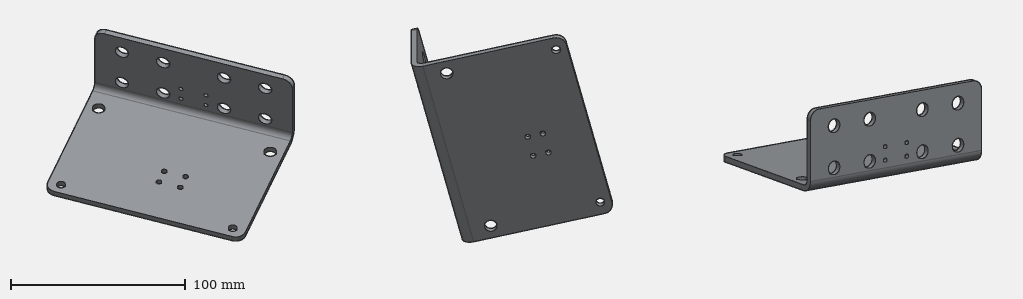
import cadquery as cq

width = 120.0
depth = 90.0
height = 49.0
thickness = 3.5
inner_bend_radius = 3.5
outer_bend_radius = inner_bend_radius + thickness
corner_radius = 6.0

wall_hole_diameter = 8.0
wall_hole_pitch = 25.0
wall_hole_inner_x = 18.5
wall_hole_outer_x = wall_hole_inner_x + wall_hole_pitch
wall_hole_low_z = 12.5
wall_hole_high_z = wall_hole_low_z + wall_hole_pitch
wall_pilot_diameter = 2.4
wall_pilot_x = 7.5
wall_pilot_low_z = 11.5
wall_pilot_high_z = 19.5

floor_hole_x = 52.1
rear_hole_diameter = 7.2
rear_hole_y = 71.0
front_hole_diameter = 5.0
front_hole_y = 6.5
floor_pilot_diameter = 3.1
floor_pilot_xs = (0.0, 13.0)
floor_pilot_ys = (27.2, 36.2)


def bent_sheet():
    """L-shaped sheet with a concentric bend, centred on X."""
    outer_block = (
        cq.Workplane("YZ")
        .rect(depth, height, centered=False)
        .extrude(width / 2, both=True)
        .edges("|X and >Y and <Z")
        .fillet(outer_bend_radius)
    )
    inner_space = (
        cq.Workplane("YZ")
        .workplane(offset=-width / 2)
        .moveTo(0, thickness)
        .rect(depth - thickness, height - thickness, centered=False)
        .extrude(width)
        .edges("|X and >Y and <Z")
        .fillet(inner_bend_radius)
    )
    return outer_block.cut(inner_space)


def grid(first_positions, second_positions):
    return [(a, b) for a in first_positions for b in second_positions]


def wall_cutters(points, diameter):
    """Cylinders along Y through the wall only."""
    return (
        cq.Workplane("XZ", origin=(0, depth, 0))
        .pushPoints(points)
        .circle(diameter / 2)
        .extrude(thickness)
    )


def floor_cutters(points, diameter):
    """Cylinders along Z through the floor only."""
    return cq.Workplane("XY").pushPoints(points).circle(diameter / 2).extrude(thickness)


bracket = bent_sheet()

bracket = bracket.edges("|Z and <Y").fillet(corner_radius)
bracket = bracket.edges("|Y and >Z").fillet(corner_radius)

wall_hole_xs = (-wall_hole_outer_x, -wall_hole_inner_x, wall_hole_inner_x, wall_hole_outer_x)
wall_holes = grid(wall_hole_xs, (wall_hole_low_z, wall_hole_high_z))
wall_pilots = grid((-wall_pilot_x, wall_pilot_x), (wall_pilot_low_z, wall_pilot_high_z))
bracket = bracket.cut(wall_cutters(wall_holes, wall_hole_diameter))
bracket = bracket.cut(wall_cutters(wall_pilots, wall_pilot_diameter))

floor_hole_xs = (-floor_hole_x, floor_hole_x)
rear_holes = grid(floor_hole_xs, (rear_hole_y,))
front_holes = grid(floor_hole_xs, (front_hole_y,))
floor_pilots = grid(floor_pilot_xs, floor_pilot_ys)
bracket = bracket.cut(floor_cutters(rear_holes, rear_hole_diameter))
bracket = bracket.cut(floor_cutters(front_holes, front_hole_diameter))
bracket = bracket.cut(floor_cutters(floor_pilots, floor_pilot_diameter))

result = bracket